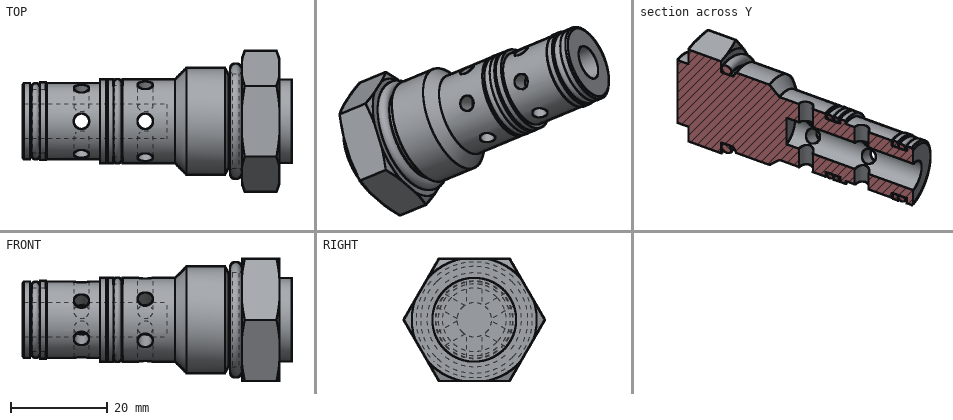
import cadquery as cq
import math


overall_length = 55.88

nose_diameter = 15.88
nose_face_diameter = 14.99
nose_chamfer_length = 0.33
nose_groove_start = 1.60
nose_groove_floor_diameter = 13.21

middle_diameter = 17.46
middle_start = 16.02
middle_groove_start = 17.32
middle_groove_floor_diameter = 14.91
groove_width = 3.45

collar_diameter = 22.23
cone_start = 31.65
cone_length = (collar_diameter - middle_diameter) / 2
collar_end = 41.94
neck_diameter = 19.56
neck_start = 42.70

hex_across_flats = 25.40
hex_thickness = 7.82
hex_chamfer_face_diameter = 25.90
hex_chamfer_angle = 20.0
stub_diameter = 17.40
stub_length = 2.59
hex_start = overall_length - stub_length - hex_thickness

bore_diameter = 7.14
bore_depth = 30.0
port_diameter = 3.17
port_row_positions = (12.22, 25.45)
ports_per_row = 6

small_ring_section = 1.68
nose_ring_outer_diameter = nose_diameter
nose_ring_start = 1.88
middle_ring_outer_diameter = 17.60
middle_ring_start = 18.88
large_ring_section = 2.46
large_ring_outer_diameter = 24.06

nose_backup_diameter = 16.20
nose_backup_start = 3.58
nose_backup_width = 1.27
middle_backup_diameter = 17.53
middle_backup_start = 17.70
middle_backup_width = 1.14


def cylinder(diameter, start, length):
    """Solid cylinder on the X axis."""
    return cq.Workplane("YZ", origin=(start, 0, 0)).circle(diameter / 2).extrude(length)


def tube(outer_diameter, inner_diameter, start, length):
    """Plain ring on the X axis."""
    return (
        cq.Workplane("YZ", origin=(start, 0, 0))
        .circle(outer_diameter / 2)
        .circle(inner_diameter / 2)
        .extrude(length)
    )


def revolve_about_x(outline):
    """Turn an XY outline, with Y as the radius, about the X axis."""
    return outline.close().revolve(360, (0, 0, 0), (1, 0, 0))


def make_turned_body():
    """Turned shape from the nose up to the hexagon, before the grooves."""
    outline = (
        cq.Workplane("XY")
        .moveTo(0, 0)
        .lineTo(0, nose_face_diameter / 2)
        .lineTo(nose_chamfer_length, nose_diameter / 2)
        .lineTo(middle_start, nose_diameter / 2)
        .lineTo(middle_start, middle_diameter / 2)
        .lineTo(cone_start, middle_diameter / 2)
        .lineTo(cone_start + cone_length, collar_diameter / 2)
        .lineTo(collar_end, collar_diameter / 2)
        .lineTo(neck_start, neck_diameter / 2)
        .lineTo(hex_start, neck_diameter / 2)
        .lineTo(hex_start, 0)
    )
    return revolve_about_x(outline)


def make_hexagon():
    """Hexagon with flats at top and bottom, its corners chamfered at both faces."""
    across_corners = hex_across_flats / math.cos(math.pi / 6)
    prism = (
        cq.Workplane("YZ", origin=(hex_start, 0, 0))
        .polygon(6, across_corners)
        .extrude(hex_thickness)
    )
    face_radius = hex_chamfer_face_diameter / 2
    half_thickness = hex_thickness / 2
    middle_radius = face_radius + half_thickness / math.tan(math.radians(hex_chamfer_angle))
    envelope = revolve_about_x(
        cq.Workplane("XY")
        .moveTo(hex_start, 0)
        .lineTo(hex_start, face_radius)
        .lineTo(hex_start + half_thickness, middle_radius)
        .lineTo(hex_start + hex_thickness, face_radius)
        .lineTo(hex_start + hex_thickness, 0)
    )
    return prism.intersect(envelope)


def make_ports(row_position):
    """One row of radial ports, evenly spaced around the X axis from +Z."""
    port = (
        cq.Workplane("XY", origin=(row_position, 0, 0))
        .circle(port_diameter / 2)
        .extrude(middle_diameter)
    )
    ports = port
    for index in range(1, ports_per_row):
        ports = ports.union(port.rotate((0, 0, 0), (1, 0, 0), index * 360 / ports_per_row))
    return ports


def make_valve_body():
    body = make_turned_body().union(make_hexagon())
    body = body.union(cylinder(stub_diameter, hex_start + hex_thickness, stub_length))
    body = body.cut(tube(collar_diameter, nose_groove_floor_diameter, nose_groove_start, groove_width))
    body = body.cut(tube(collar_diameter, middle_groove_floor_diameter, middle_groove_start, groove_width))
    body = body.cut(cylinder(bore_diameter, 0, bore_depth))
    for row_position in port_row_positions:
        body = body.cut(make_ports(row_position))
    return body


def make_o_ring(outer_diameter, section, seat_diameter, start):
    """Round-section ring pressed flat against the cylinder it sits on."""
    centre_radius = (outer_diameter - section) / 2
    ring = (
        cq.Workplane("XY")
        .moveTo(start + section / 2, centre_radius)
        .circle(section / 2)
        .revolve(360, (0, 0, 0), (1, 0, 0))
    )
    return ring.cut(cylinder(seat_diameter, start, section))


valve_body = make_valve_body()

nose_o_ring = make_o_ring(
    nose_ring_outer_diameter, small_ring_section, nose_groove_floor_diameter, nose_ring_start
)
middle_o_ring = make_o_ring(
    middle_ring_outer_diameter, small_ring_section, middle_groove_floor_diameter, middle_ring_start
)
large_o_ring = make_o_ring(
    large_ring_outer_diameter, large_ring_section, neck_diameter, hex_start - large_ring_section
)

nose_backup_ring = tube(
    nose_backup_diameter, nose_groove_floor_diameter, nose_backup_start, nose_backup_width
)
middle_backup_ring = tube(
    middle_backup_diameter, middle_groove_floor_diameter, middle_backup_start, middle_backup_width
)

result = cq.Compound.makeCompound([
    valve_body.val(),
    nose_o_ring.val(),
    middle_o_ring.val(),
    large_o_ring.val(),
    nose_backup_ring.val(),
    middle_backup_ring.val(),
])